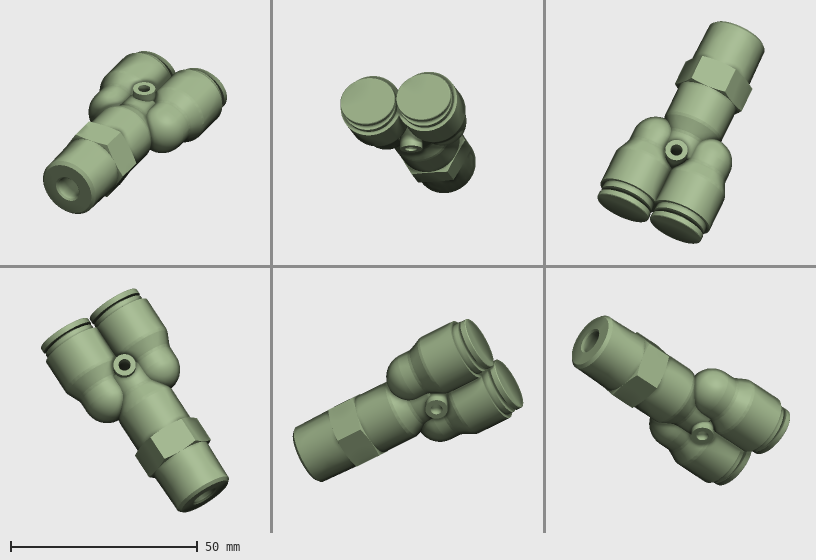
import cadquery as cq
import math

overall_length = 58.6
base_y = -overall_length / 2

thread_length = 12.15
thread_tip_diameter = 16.35
thread_root_diameter = 16.95
thread_chamfer = 0.8
hex_across_flats = 17.0
hex_length = 7.9
hex_chamfer = 0.4
port_diameter = 6.4
port_chamfer = 0.45

large_diameter = 16.7
small_diameter = 13.0
large_radius = large_diameter / 2
small_radius = small_diameter / 2
branch_offset = 7.705
cone_length = 4.1
blend_radius = 2.0
stem_cone_y = base_y + 30.0
branch_tip_y = base_y + 30.5
stem_tip_y = base_y + 40.6
stem_tip_rounding = 1.0
branch_cone_y = base_y + 40.4
housing_end_y = base_y + 54.5

eye_y = base_y + 40.5
eye_diameter = 6.0
eye_hole_diameter = 3.2

collar_diameter = 14.7
collar_length = 1.7
neck_diameter = 9.6
button_thickness = 1.5
button_width = 15.0
button_height = 13.0
button_edge_chamfer = 0.2

hex_start_y = base_y + thread_length
hex_end_y = hex_start_y + hex_length
collar_end_y = housing_end_y + collar_length
button_end_y = base_y + overall_length
button_start_y = button_end_y - button_thickness


def plane_at(y, x=0.0):
    """Plane across the Y axis, facing +Y, with its local X along -X and local Y along Z."""
    return cq.Workplane(cq.Plane(origin=(x, y, 0), xDir=(-1, 0, 0), normal=(0, 1, 0)))


def cylinder(diameter, start_y, end_y, x=0.0):
    return plane_at(start_y, x).circle(diameter / 2).extrude(end_y - start_y)


def revolve_about_y(profile):
    return profile.close().revolve(360, (0, 0, 0), (0, 1, 0))


def make_thread():
    tip_radius = thread_tip_diameter / 2
    return revolve_about_y(
        cq.Workplane("XY")
        .moveTo(0, base_y)
        .lineTo(tip_radius - thread_chamfer, base_y)
        .lineTo(tip_radius, base_y + thread_chamfer)
        .lineTo(thread_root_diameter / 2, hex_start_y)
        .lineTo(0, hex_start_y)
    )


def make_hex():
    """Hexagon with corners on +-X, its corners turned off conically at both ends."""
    face_radius = hex_across_flats / 2
    corner_radius = face_radius / math.cos(math.pi / 6)
    prism = plane_at(hex_start_y).polygon(6, 2 * corner_radius).extrude(hex_length)
    turned = revolve_about_y(
        cq.Workplane("XY")
        .moveTo(0, hex_start_y)
        .lineTo(face_radius, hex_start_y)
        .lineTo(corner_radius, hex_start_y + hex_chamfer)
        .lineTo(corner_radius, hex_end_y - hex_chamfer)
        .lineTo(face_radius, hex_end_y)
        .lineTo(0, hex_end_y)
    )
    return prism.intersect(turned)


def make_fitting():
    port = cylinder(port_diameter, base_y, hex_end_y)
    port_radius = port_diameter / 2
    countersink = revolve_about_y(
        cq.Workplane("XY")
        .moveTo(0, base_y)
        .lineTo(port_radius + port_chamfer, base_y)
        .lineTo(port_radius, base_y + port_chamfer)
        .lineTo(0, base_y + port_chamfer)
    )
    return make_thread().union(make_hex()).cut(port).cut(countersink)


def rounded_barrel(large_end_y, large_cone_y, small_cone_y, tip_y, tip_rounding):
    """Barrel that narrows through a blended cone to a thinner neck with a rounded tip."""
    toward_tip = math.copysign(1, tip_y - small_cone_y)
    flat_tip_radius = small_radius - tip_rounding
    rounding_y = tip_y - toward_tip * tip_rounding
    rounding_middle = tip_rounding * math.sqrt(0.5)
    profile = (
        cq.Workplane("XY")
        .moveTo(0, large_end_y)
        .lineTo(large_radius, large_end_y)
        .lineTo(large_radius, large_cone_y)
        .lineTo(small_radius, small_cone_y)
        .lineTo(small_radius, rounding_y)
        .threePointArc(
            (flat_tip_radius + rounding_middle, rounding_y + toward_tip * rounding_middle),
            (flat_tip_radius, tip_y),
        )
    )
    if flat_tip_radius > 0:
        profile = profile.lineTo(0, tip_y)
    return revolve_about_y(profile).faces("%CONE").edges("%CIRCLE").fillet(blend_radius)


def make_stem():
    return rounded_barrel(hex_end_y, stem_cone_y, stem_cone_y + cone_length, stem_tip_y, stem_tip_rounding)


def make_branch(x):
    barrel = rounded_barrel(
        housing_end_y, branch_cone_y + cone_length, branch_cone_y, branch_tip_y, small_radius
    )
    return barrel.translate((x, 0, 0))


def eye_cylinder(diameter):
    """Upright cylinder at the mounting eye, as tall as the housing."""
    eye_plane = cq.Plane(origin=(0, eye_y, 0), xDir=(0, 1, 0), normal=(0, 0, 1))
    return cq.Workplane(eye_plane).circle(diameter / 2).extrude(large_radius, both=True)


def make_housing():
    housing = make_stem()
    for side in (-1, 1):
        housing = housing.union(make_branch(side * branch_offset))
    return housing.union(eye_cylinder(eye_diameter)).cut(eye_cylinder(eye_hole_diameter))


def make_collar(x):
    return cylinder(collar_diameter, housing_end_y, collar_end_y, x)


def make_button(x):
    """Oval release button on a round neck."""
    neck = cylinder(neck_diameter, collar_end_y, button_start_y, x)
    outline = plane_at(button_start_y, x).ellipse(button_width / 2, button_height / 2)
    flange = outline.extrude(button_thickness).faces(">Y").chamfer(button_edge_chamfer)
    return neck.union(flange)


fitting = make_fitting()
housing = make_housing()
collars = []
buttons = []
for side in (-1, 1):
    collars.append(make_collar(side * branch_offset).val())
    buttons.append(make_button(side * branch_offset).val())

result = cq.Compound.makeCompound([fitting.val(), housing.val(), *collars, *buttons])